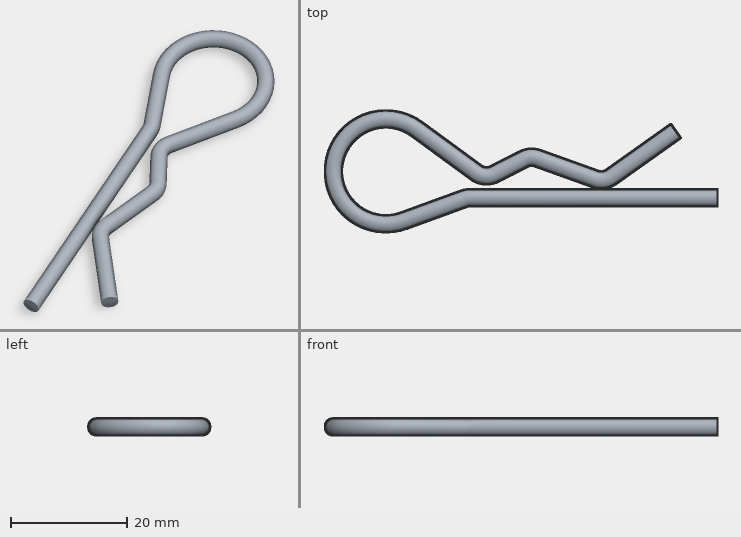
import cadquery as cq
import math


total_length = 67.5
loop_width = 21.0
wire_diameter = 3.0
bend_radius = 3.0

loop_radius = (loop_width - wire_diameter) / 2
shank_end_x = total_length - loop_width / 2

shank_y = -4.5
shank_end = (shank_end_x, shank_y)
shank_corner = (13.9, shank_y)
throat_corner = (17.0, -1.3)
crest_corner = (24.85, 2.7)
contact_corner = (37.45, -1.8)
tip = (49.8, 6.95)


def loop_tangent_point(corner, side):
    """Point where the line from a corner touches the loop; side is +1 for +Y, -1 for -Y."""
    distance = math.hypot(*corner)
    angle = math.atan2(corner[1], corner[0]) + side * math.acos(loop_radius / distance)
    return (loop_radius * math.cos(angle), loop_radius * math.sin(angle))


def bend_arc(before, corner, after):
    """Start, middle and end of the arc that rounds a corner of the centreline."""
    corner = cq.Vector(*corner)
    to_before = (cq.Vector(*before) - corner).normalized()
    to_after = (cq.Vector(*after) - corner).normalized()
    half_angle = to_before.getAngle(to_after) / 2
    setback = bend_radius / math.tan(half_angle)
    middle_distance = bend_radius / math.sin(half_angle) - bend_radius
    toward_centre = (to_before + to_after).normalized()
    return (
        corner + to_before * setback,
        corner + toward_centre * middle_distance,
        corner + to_after * setback,
    )


def add_bent_leg(path, points):
    """Extend the path from the first point to the last, rounding the corners between."""
    for before, corner, after in zip(points, points[1:], points[2:]):
        start, middle, end = bend_arc(before, corner, after)
        path = path.lineTo(start.x, start.y)
        path = path.threePointArc((middle.x, middle.y), (end.x, end.y))
    return path.lineTo(*points[-1])


lower_tangent = loop_tangent_point(shank_corner, -1)
upper_tangent = loop_tangent_point(throat_corner, 1)

centreline = cq.Workplane("XY").moveTo(*shank_end)
centreline = add_bent_leg(centreline, [shank_end, shank_corner, lower_tangent])
centreline = centreline.threePointArc((-loop_radius, 0), upper_tangent)
centreline = add_bent_leg(
    centreline,
    [upper_tangent, throat_corner, crest_corner, contact_corner, tip],
)

wire_section = cq.Workplane("YZ", origin=(shank_end_x, shank_y, 0)).circle(wire_diameter / 2)
result = wire_section.sweep(centreline)